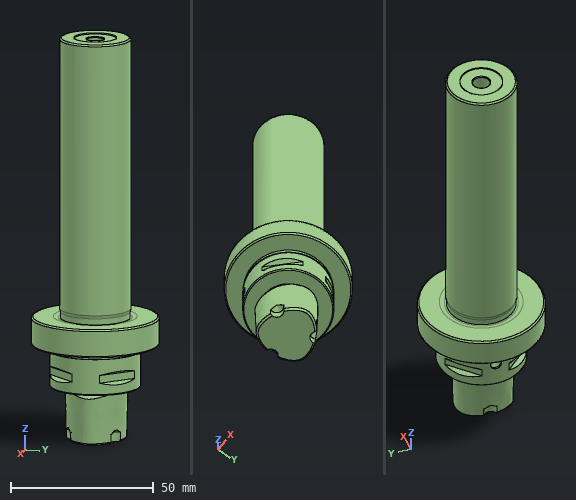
import cadquery as cq
import math

total_height = 144.0
body_bottom = 19.0
flange_bottom = 34.0
flange_top = 44.0

shank_radius = 25.0 / 2
shank_chamfer = 0.6
undercut_radius = 24.5 / 2
undercut_top = 45.8
undercut_taper_top = 47.0
flange_radius = 45.0 / 2
flange_chamfer = 0.6
face_recess_outer_radius = 29.4 / 2
face_recess_inner_radius = 25.9 / 2
face_recess_depth = 0.5
body_radius = 32.0 / 2
body_chamfer = 0.5
body_groove_radius = 31.5 / 2
body_groove_bottom = 32.0

polygon_top_radius = 11.1
polygon_taper = 1 / 40
lobe_height = 0.69
outline_points = 36
tip_chamfer = 0.7
neck_radius = 10.2
neck_bottom = 18.3

keyway_radius = 5.0 / 2
keyway_offset = 10.2
keyway_straight_height = 3.5
keyway_tip_height = 4.9

slot_level = 24.9
slot_floor_distance = 14.3
slot_floor_half_height = 1.37
slot_mouth_half_height = 2.5
slot_mouth_distance = 16.1

index_hole_radius = 4.0 / 2
index_hole_level = 28.1
index_hole_depth = 0.7
centre_hole_radius = 6.0 / 2
centre_hole_chamfer = 0.3
centre_hole_depth = 5.8
end_recess_radius = 15.0 / 2
end_recess_depth = 0.5
drill_tip_ratio = math.tan(math.radians(31))


def revolve(points):
    """Revolve a closed (radius, z) outline about the Z axis."""
    return cq.Workplane("XZ").polyline(points).close().revolve(360, (0, 0, 0), (0, 1, 0))


def turned_body():
    return revolve([
        (0, body_bottom),
        (body_radius - body_chamfer, body_bottom),
        (body_radius, body_bottom + body_chamfer),
        (body_radius, body_groove_bottom),
        (body_groove_radius, body_groove_bottom),
        (body_groove_radius, flange_bottom),
        (flange_radius - flange_chamfer, flange_bottom),
        (flange_radius, flange_bottom + flange_chamfer),
        (flange_radius, flange_top - flange_chamfer),
        (flange_radius - flange_chamfer, flange_top),
        (face_recess_outer_radius, flange_top),
        (face_recess_inner_radius, flange_top - face_recess_depth),
        (undercut_radius, flange_top - face_recess_depth),
        (undercut_radius, undercut_top),
        (shank_radius, undercut_taper_top),
        (shank_radius, total_height - shank_chamfer),
        (shank_radius - shank_chamfer, total_height),
        (0, total_height),
    ])


def lobed_point(mean_radius, angle):
    """Point on the curve whose tangent lies mean_radius + lobe_height * cos(3 * angle) from the axis."""
    distance = mean_radius + lobe_height * math.cos(3 * angle)
    slope = -3 * lobe_height * math.sin(3 * angle)
    x = distance * math.cos(angle) - slope * math.sin(angle)
    y = distance * math.sin(angle) + slope * math.cos(angle)
    return x, y


def lobed_outline(mean_radius):
    step = 2 * math.pi / outline_points
    return [lobed_point(mean_radius, i * step) for i in range(outline_points)]


def polygon_shank():
    tip_radius = polygon_top_radius - polygon_taper * body_bottom
    polygon = (
        cq.Workplane("XY")
        .spline(lobed_outline(tip_radius), periodic=True).close()
        .workplane(offset=body_bottom)
        .spline(lobed_outline(polygon_top_radius), periodic=True).close()
        .loft(ruled=True)
    )
    polygon = polygon.faces("<Z").chamfer(tip_chamfer)
    clearance_radius = 2 * polygon_top_radius
    neck_envelope = revolve([
        (0, 0),
        (clearance_radius, 0),
        (clearance_radius, neck_bottom - (clearance_radius - neck_radius)),
        (neck_radius, neck_bottom),
        (neck_radius, body_bottom),
        (0, body_bottom),
    ])
    return polygon.intersect(neck_envelope)


def keyway(angle):
    """Upright round pocket with a conical end, opening through the side and tip."""
    return (
        revolve([
            (0, 0),
            (keyway_radius, 0),
            (keyway_radius, keyway_straight_height),
            (0, keyway_tip_height),
        ])
        .translate((keyway_offset, 0, 0))
        .rotate((0, 0, 0), (0, 0, 1), angle)
    )


def gripper_slot(angle):
    """Straight slot with a flat floor and sloping sides, cut across the body."""
    slot_length = 2 * body_radius
    return (
        cq.Workplane("XZ")
        .polyline([
            (slot_floor_distance, slot_level - slot_floor_half_height),
            (slot_mouth_distance, slot_level - slot_mouth_half_height),
            (slot_mouth_distance, slot_level + slot_mouth_half_height),
            (slot_floor_distance, slot_level + slot_floor_half_height),
        ])
        .close()
        .extrude(slot_length / 2, both=True)
        .rotate((0, 0, 0), (0, 0, 1), angle)
    )


def drill(radius, depth):
    """Blind hole going down from the origin, with a conical end."""
    return revolve([
        (0, 0),
        (radius, 0),
        (radius, -depth),
        (0, -depth - radius * drill_tip_ratio),
    ])


def centre_hole():
    """Drilled hole with a chamfered rim, starting at the floor of the end recess."""
    mouth_radius = centre_hole_radius + centre_hole_chamfer
    rim = revolve([
        (0, 0),
        (mouth_radius, 0),
        (centre_hole_radius, -centre_hole_chamfer),
        (0, -centre_hole_chamfer),
    ])
    hole = drill(centre_hole_radius, centre_hole_depth).union(rim)
    return hole.translate((0, 0, total_height - end_recess_depth))


def index_hole():
    return (
        drill(index_hole_radius, index_hole_depth)
        .rotate((0, 0, 0), (0, 1, 0), -90)
        .translate((-body_radius, 0, index_hole_level))
    )


def end_recess():
    return (
        cq.Workplane("XY", origin=(0, 0, total_height - end_recess_depth))
        .circle(end_recess_radius)
        .extrude(end_recess_depth)
    )


result = turned_body().union(polygon_shank())

for keyway_angle in (60, 180, 300):
    result = result.cut(keyway(keyway_angle))

for slot_angle in (45, 135, 225, 315):
    result = result.cut(gripper_slot(slot_angle))

result = result.cut(index_hole())
result = result.cut(end_recess())
result = result.cut(centre_hole())